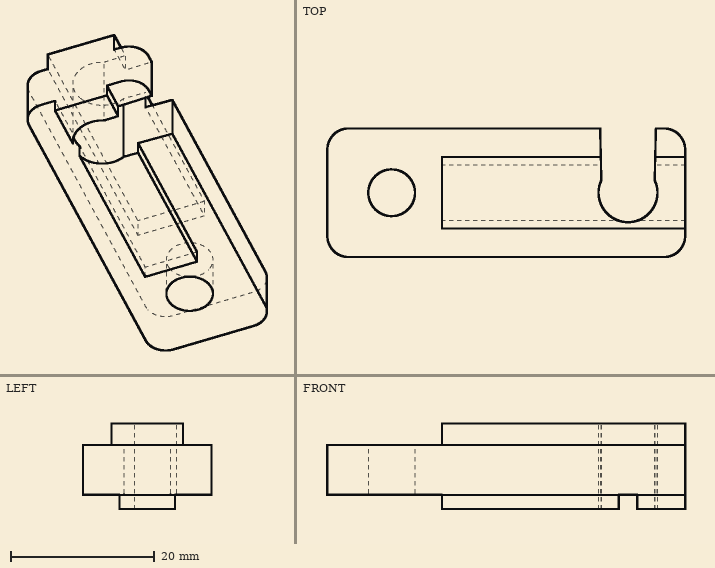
import cadquery as cq

length = 50
width = 18
base_height = 7
corner_radius = 3

rib_start = 16
rib_length = length - rib_start
top_rib_width = 10
top_rib_height = 3
bottom_rib_width = 7.8
bottom_rib_height = 2

hole_x = 9
hole_diameter = 6.5

seat_x = 42
seat_diameter = 8.2
throat_width = 7.4
throat_y = 1.5
mouth_width = 7.75

total_height = bottom_rib_height + base_height + top_rib_height


def rib(rib_width, height, bottom_z):
    """Rectangular rib along X, centred on the plate width."""
    return (
        cq.Workplane("XY", origin=(rib_start, 0, bottom_z))
        .box(rib_length, rib_width, height, centered=(False, True, False))
    )


def through_cylinder(x, diameter):
    """Vertical cutter spanning the full height of the part."""
    return (
        cq.Workplane("XY", origin=(x, 0, -bottom_rib_height))
        .circle(diameter / 2)
        .extrude(total_height)
    )


def slot_mouth():
    """Flared cutter from the seat centre out to the +Y side."""
    flare = (mouth_width - throat_width) / (width / 2 - throat_y)
    inner_width = throat_width - flare * throat_y
    return (
        cq.Workplane("XY", origin=(seat_x, 0, -bottom_rib_height))
        .polyline([
            (-inner_width / 2, 0),
            (inner_width / 2, 0),
            (mouth_width / 2, width / 2),
            (-mouth_width / 2, width / 2),
        ])
        .close()
        .extrude(total_height)
    )


base = (
    cq.Workplane("XY")
    .box(length, width, base_height, centered=(False, True, False))
    .edges("|Z")
    .fillet(corner_radius)
)

result = (
    base
    .union(rib(top_rib_width, top_rib_height, base_height))
    .union(rib(bottom_rib_width, bottom_rib_height, -bottom_rib_height))
    .cut(through_cylinder(hole_x, hole_diameter))
    .cut(through_cylinder(seat_x, seat_diameter))
    .cut(slot_mouth())
)